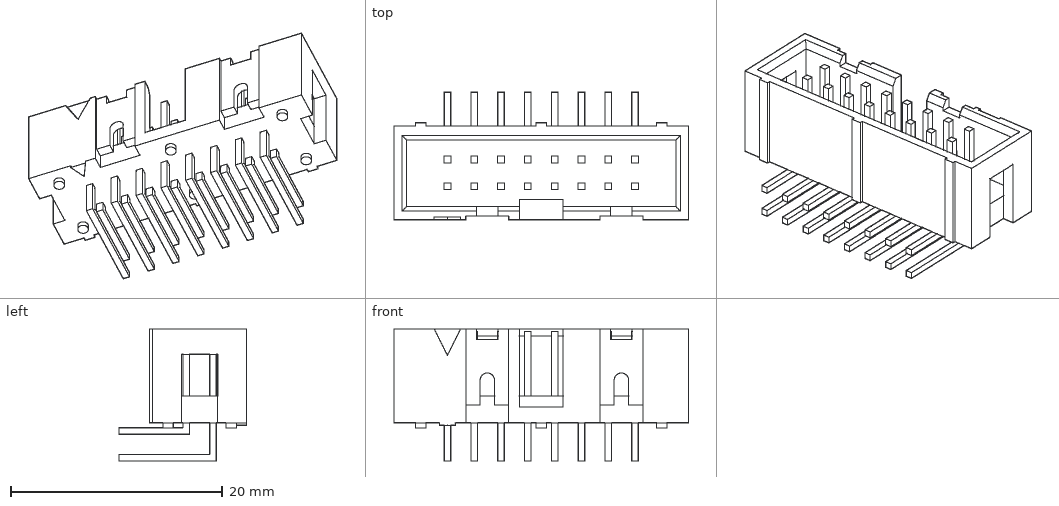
import cadquery as cq


length = 27.9
depth = 8.9
height = 8.9
floor_height = 2.55
end_wall = 1.2
front_wall = 1.25
back_wall = 1.35
lead_in = 0.42
lead_in_height = 0.67

columns = 8
pitch = 2.55
pin_width = 0.65
pin_setback = 0.25
leg_end_y = 12.1
lowest_leg_bottom = -3.63

key_width = 4.13
key_reach = 1.95
key_bottom = 1.5

window_width = 3.4
window_top = 6.47

panel_centers = (-5.1, 7.6)
panel_width = 4.05
panel_recess = 0.35
undercut_height = 1.67
arch_width = 1.37
arch_top = 4.72
notch_width = 2.05
notch_depth = 1.0

front_mark_size = 2.5
front_mark_depth = 0.25
bottom_mark_size = 1.53
bottom_mark_height = 0.25

peg_diameter = 1.0
peg_height = 0.5
peg_spacing_x = 11.4
peg_spacing_y = 5.97
rib_thickness = 0.3

mid_y = depth / 2
pin_top = height - pin_setback
cavity_length = length - 2 * end_wall
cavity_depth = depth - front_wall - back_wall
cavity_mid_y = front_wall + cavity_depth / 2
pin_columns = [(i - (columns - 1) / 2) * pitch for i in range(columns)]
pin_one_x = pin_columns[0]
peg_columns = [i * peg_spacing_x for i in (-1, 0, 1)]


def block(center_x, width, y_min, y_max, z_min, z_max):
    """Box centred on center_x with explicit limits in Y and Z."""
    return (
        cq.Workplane("XY")
        .box(width, y_max - y_min, z_max - z_min, centered=(True, False, False))
        .translate((center_x, y_min, z_min))
    )


def cavity():
    """Mating cavity with a flared lead-in around its rim."""
    pocket = block(0, cavity_length, front_wall, depth - back_wall, floor_height, height)
    flare = (
        cq.Workplane("XY", origin=(0, cavity_mid_y, height - lead_in_height))
        .rect(cavity_length, cavity_depth)
        .workplane(offset=lead_in_height)
        .rect(cavity_length + 2 * lead_in, cavity_depth + 2 * lead_in)
        .loft(ruled=True)
    )
    return pocket.union(flare)


def end_window(side):
    """Window through one end wall, open at the underside."""
    center_x = side * (length - end_wall) / 2
    y_min = mid_y - window_width / 2
    return block(center_x, end_wall, y_min, y_min + window_width, 0, window_top)


def front_panel(center_x):
    """Shallow panel with an undercut foot, a round-topped opening and a rim notch."""
    arch_radius = arch_width / 2
    arch_spring = arch_top - arch_radius
    arch = (
        cq.Workplane("XZ")
        .moveTo(center_x - arch_radius, 0)
        .lineTo(center_x - arch_radius, arch_spring)
        .threePointArc((center_x, arch_top), (center_x + arch_radius, arch_spring))
        .lineTo(center_x + arch_radius, 0)
        .close()
        .extrude(-front_wall)
    )
    return (
        block(center_x, panel_width, 0, panel_recess, 0, height)
        .union(block(center_x, panel_width, 0, front_wall, 0, undercut_height))
        .union(block(center_x, notch_width, 0, front_wall, height - notch_depth, height))
        .union(arch)
    )


def front_mark():
    """Triangular pin-1 recess hanging from the top edge of the front wall."""
    half = front_mark_size / 2
    corners = [
        (pin_one_x - half, height),
        (pin_one_x + half, height),
        (pin_one_x, height - front_mark_size),
    ]
    return cq.Workplane("XZ").polyline(corners).close().extrude(-front_mark_depth)


def bottom_mark():
    """Raised triangular pin-1 mark on the underside, pointing away from the front wall."""
    half = bottom_mark_size / 2
    corners = [
        (pin_one_x - half, 0),
        (pin_one_x + half, 0),
        (pin_one_x, bottom_mark_size),
    ]
    return cq.Workplane("XY").polyline(corners).close().extrude(-bottom_mark_height)


def pin(center_x, row_y, leg_bottom):
    """L-shaped square pin: a vertical contact and a leg bent towards +Y."""
    y_min = row_y - pin_width / 2
    contact = block(center_x, pin_width, y_min, y_min + pin_width, leg_bottom, pin_top)
    leg = block(center_x, pin_width, y_min, leg_end_y, leg_bottom, leg_bottom + pin_width)
    return contact.union(leg)


result = block(0, length, 0, depth, 0, height).cut(cavity())
result = result.cut(block(0, key_width, 0, key_reach, key_bottom, height))
for side in (-1, 1):
    result = result.cut(end_window(side))
for panel_x in panel_centers:
    result = result.cut(front_panel(panel_x))
result = result.cut(front_mark()).union(bottom_mark())

for peg_x in peg_columns:
    result = result.union(block(peg_x, peg_diameter, depth, depth + rib_thickness, 0, height))
pegs = (
    cq.Workplane("XY", origin=(0, mid_y, 0))
    .rarray(peg_spacing_x, peg_spacing_y, len(peg_columns), 2)
    .circle(peg_diameter / 2)
    .extrude(-peg_height)
)
result = result.union(pegs)

for row in range(2):
    row_y = mid_y + (row - 0.5) * pitch
    leg_bottom = lowest_leg_bottom + row * pitch
    for pin_x in pin_columns:
        result = result.union(pin(pin_x, row_y, leg_bottom))